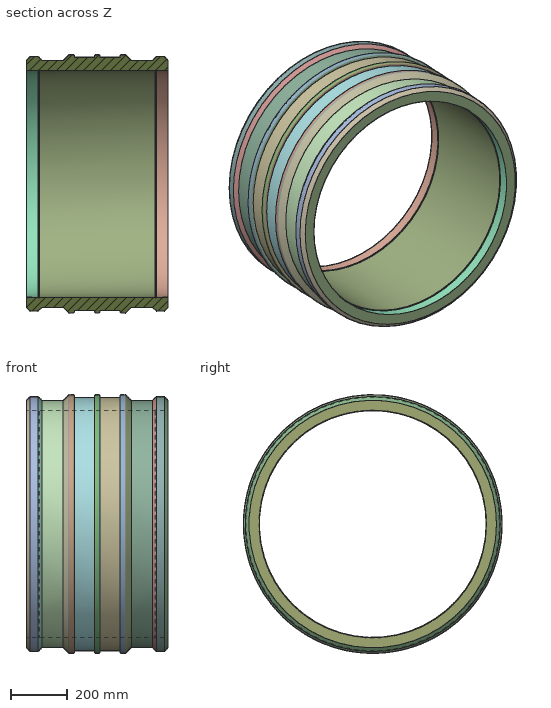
import cadquery as cq

length = 500.0
half_length = length / 2

bore_radius = 800.0 / 2
groove_radius = 873.0 / 2
band_radius = 894.74 / 2
collar_radius = 900.0 / 2
rib_radius = 913.0 / 2

collar_crest_width = 28.0
side_rib_outer_foot = 120.0
side_rib_inner_face = 80.0
middle_rib_width = 20.0
rib_crest_rounding = 5.0

bore_groove_position = 206.5
bore_groove_radius = 4.0 / 2

collar_flank = collar_radius - groove_radius
side_rib_flank = rib_radius - groove_radius
collar_crest_outer = half_length - collar_flank
collar_crest_inner = collar_crest_outer - collar_crest_width
collar_inner_foot = collar_crest_inner - collar_flank
side_rib_crest_outer = side_rib_outer_foot - side_rib_flank
middle_rib_face = middle_rib_width / 2


def sharp_sleeve():
    """Whole sleeve with a plain bore and sharp rib crests, revolved about the X axis."""
    half_outline = [
        (middle_rib_face, rib_radius),
        (middle_rib_face, band_radius),
        (side_rib_inner_face, band_radius),
        (side_rib_inner_face, rib_radius),
        (side_rib_crest_outer, rib_radius),
        (side_rib_outer_foot, groove_radius),
        (collar_inner_foot, groove_radius),
        (collar_crest_inner, collar_radius),
        (collar_crest_outer, collar_radius),
        (half_length, groove_radius),
        (half_length, bore_radius),
    ]
    mirrored_outline = [(-x, radius) for x, radius in reversed(half_outline)]
    outline = cq.Workplane("XY").polyline(mirrored_outline + half_outline).close()
    return outline.revolve(360, (0, 0, 0), (1, 0, 0))


def round_rib_crests(sleeve):
    """Round both crest edges of all three ribs, the largest circles on the sleeve."""
    crest_edges = cq.selectors.RadiusNthSelector(-1)
    return sleeve.edges(crest_edges).fillet(rib_crest_rounding)


def bore_groove_cutter(x_position):
    """Ring of round section centred on the bore surface."""
    ring = cq.Solid.makeTorus(
        bore_radius,
        bore_groove_radius,
        cq.Vector(x_position, 0, 0),
        cq.Vector(1, 0, 0),
    )
    return cq.Workplane("XY").add(ring)


result = round_rib_crests(sharp_sleeve())
for groove_x in (-bore_groove_position, bore_groove_position):
    result = result.cut(bore_groove_cutter(groove_x))